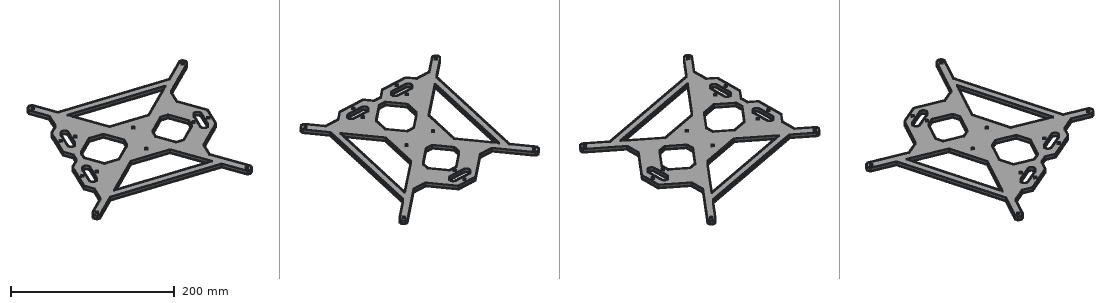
import math

import cadquery as cq

size = 210.0
thickness = 6.0
half = size / 2

arm_width = 10.0
arm_offset = arm_width / math.sqrt(2)
tip_chamfer = 3.0
arm_hole_position = 99.5

rail_outer_x = 81.0
rail_width = 9.0
rail_inner_x = rail_outer_x - rail_width
web_half_width = 33.0

tab_edge_y = 95.5
back_edge_y = 67.0
front_edge_y = -86.0
back_tab_half_width = 13.0
front_tab_half_width = 18.0
front_tab_x = 32.5

screw_diameter = 3.0
slot_length = 30.0
slot_width = 10.0
slot_y = 81.0
front_slot_x = 33.5
slot_hole_spacing = 19.5

window_width = 48.0
window_flat = 10.0
back_window_y = (19.0, 67.0)
front_window_y = (-76.0, -19.0)

web_hole_x = 20.25


def mirrored_profile(right_side):
    """Closed outline from the points of its +X side, mirrored across X = 0."""
    left_side = [(-x, y) for x, y in reversed(right_side)]
    return cq.Workplane("XY").polyline(right_side + left_side).close().extrude(thickness)


def arm_tip(y_sign):
    """Points of the arm tip at +X, listed from its inner edge to its side edge."""
    inner = half - arm_offset
    outer = half - tip_chamfer
    return [(inner, y_sign * half), (outer, y_sign * half), (half, y_sign * outer), (half, y_sign * inner)]


def plate():
    rail_end_y = rail_outer_x - arm_offset
    back_tab_rise = tab_edge_y - back_edge_y
    front_tab_rise = tab_edge_y + front_edge_y
    front_tab_inner_x = front_tab_x - front_tab_half_width
    front_tab_outer_x = front_tab_x + front_tab_half_width
    right_side = [
        (back_tab_half_width, tab_edge_y),
        (back_tab_half_width + back_tab_rise, back_edge_y),
        (back_edge_y - arm_offset, back_edge_y),
        *arm_tip(1),
        (rail_outer_x, rail_end_y),
        (rail_outer_x, -rail_end_y),
        *reversed(arm_tip(-1)),
        (-front_edge_y - arm_offset, front_edge_y),
        (front_tab_outer_x + front_tab_rise, front_edge_y),
        (front_tab_outer_x, -tab_edge_y),
        (front_tab_inner_x, -tab_edge_y),
        (front_tab_inner_x - front_tab_rise, front_edge_y),
    ]
    return mirrored_profile(right_side)


def side_window(x_sign):
    """Trapezoidal opening bounded by a rail, two arms and the centre web."""
    rail_y = rail_inner_x - arm_offset
    web_y = web_half_width - arm_offset
    points = [
        (x_sign * rail_inner_x, rail_y),
        (x_sign * web_half_width, web_y),
        (x_sign * web_half_width, -web_y),
        (x_sign * rail_inner_x, -rail_y),
    ]
    return cq.Workplane("XY").polyline(points).close().extrude(thickness)


def octagon_window(y_range):
    y_low, y_high = y_range
    half_width = window_width / 2
    half_flat = window_flat / 2
    corner = half_width - half_flat
    return mirrored_profile([
        (half_flat, y_high),
        (half_width, y_high - corner),
        (half_width, y_low + corner),
        (half_flat, y_low),
    ])


def slot_with_holes(x, y):
    slot = cq.Workplane("XY").center(x, y).slot2D(slot_length, slot_width).extrude(thickness)
    return slot.union(screw_holes([(x, y + sign * slot_hole_spacing / 2) for sign in (-1, 1)]))


def screw_holes(centres):
    return cq.Workplane("XY").pushPoints(centres).circle(screw_diameter / 2).extrude(thickness)


result = plate()

for side in (-1, 1):
    result = result.cut(side_window(side))

for window_range in (back_window_y, front_window_y):
    result = result.cut(octagon_window(window_range))

for slot_centre in ((0, slot_y), (-front_slot_x, -slot_y), (front_slot_x, -slot_y)):
    result = result.cut(slot_with_holes(*slot_centre))

arm_holes = [(x * arm_hole_position, y * arm_hole_position) for x in (-1, 1) for y in (-1, 1)]
web_holes = [(-web_hole_x, 0), (web_hole_x, 0)]
result = result.cut(screw_holes(arm_holes + web_holes))